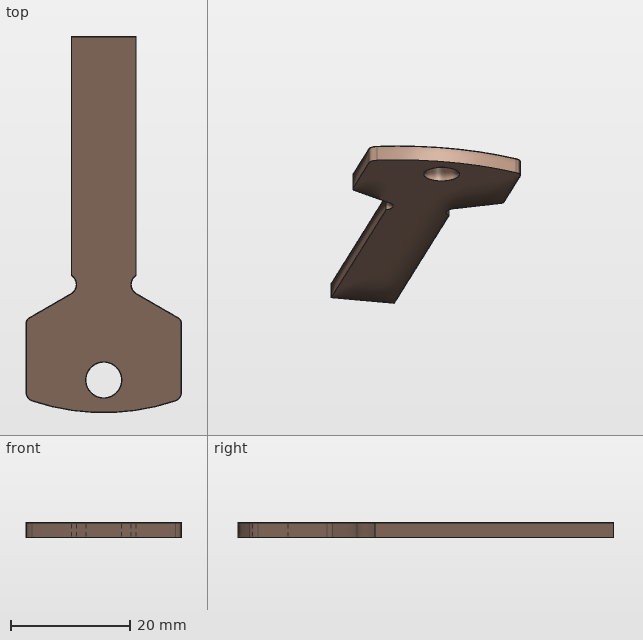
import cadquery as cq
import math

length = 63.0
head_width = 26.0
thickness = 2.5

blade_width = 10.85
notch_top = 23.0
notch_bottom = 20.0
notch_depth = 0.8

shoulder_angle = 30.0
end_bulge = 2.3
shoulder_radius = 1.0
corner_radius = 1.5

hole_diameter = 6.0
hole_height = 5.5

half_blade = blade_width / 2
half_head = head_width / 2
notch_middle = (notch_top + notch_bottom) / 2
notch_floor = half_blade - notch_depth
shoulder_drop = (half_head - half_blade) * math.tan(math.radians(shoulder_angle))
shoulder_height = notch_bottom - shoulder_drop


def make_blank():
    """Flat key with its rounded end on y = 0 and its blade along +Y."""
    return (
        cq.Workplane("XY")
        .moveTo(-half_head, end_bulge)
        .threePointArc((0, 0), (half_head, end_bulge))
        .lineTo(half_head, shoulder_height)
        .lineTo(half_blade, notch_bottom)
        .threePointArc((notch_floor, notch_middle), (half_blade, notch_top))
        .lineTo(half_blade, length)
        .lineTo(-half_blade, length)
        .lineTo(-half_blade, notch_top)
        .threePointArc((-notch_floor, notch_middle), (-half_blade, notch_bottom))
        .lineTo(-half_head, shoulder_height)
        .close()
        .extrude(thickness)
    )


def round_corner_pair(body, height, radius):
    """Round the two upright head edges that stand at the given height along Y."""
    for x in (-half_head, half_head):
        corner = cq.selectors.NearestToPointSelector((x, height, thickness / 2))
        body = body.edges(corner).fillet(radius)
    return body


def cut_ring_hole(body):
    """Cut the key-ring hole through the head."""
    hole = (
        cq.Workplane("XY")
        .center(0, hole_height)
        .circle(hole_diameter / 2)
        .extrude(thickness)
    )
    return body.cut(hole)


key = make_blank()
key = round_corner_pair(key, shoulder_height, shoulder_radius)
key = round_corner_pair(key, end_bulge, corner_radius)
result = cut_ring_hole(key)